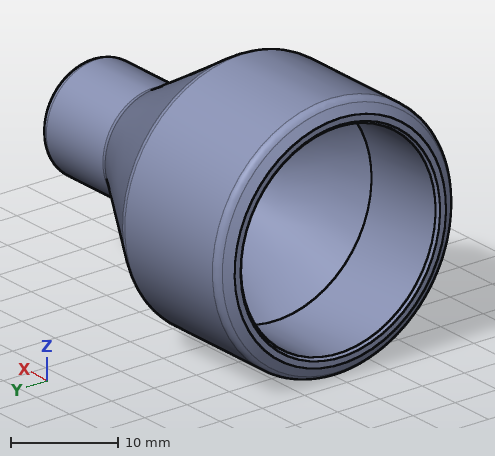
import cadquery as cq
import math

cup_length = 15.0
cone_length = 13.0
neck_length = 10.0
neck_start = cup_length + cone_length
total_length = neck_start + neck_length

cup_radius = 28.0 / 2
neck_radius = 12.0 / 2
cup_bevel_height = 1.5
neck_bevel_height = 1.0
bevel_angle = math.radians(60)
blend_radius = 1.0

bore_radius = 23.0 / 2
passage_radius = 8.0 / 2
bore_depth = 10.0
inner_cone_length = 10.0
mouth_chamfer = 0.3


def revolve_about_x(points):
    """Solid of revolution about X from closed (x, radius) points."""
    return cq.Workplane("XZ").polyline(points).close().revolve(360, (0, 0, 0), (1, 0, 0))


def outer_body():
    """Cup, cone and neck with beveled ends and rounded corners."""
    cup_bevel_length = cup_bevel_height / math.tan(bevel_angle)
    neck_bevel_length = neck_bevel_height / math.tan(bevel_angle)
    corners = [
        (cup_bevel_length, cup_radius),
        (cup_length, cup_radius),
        (neck_start, neck_radius),
        (total_length - neck_bevel_length, neck_radius),
    ]
    rim = (0, cup_radius - cup_bevel_height)
    tip = (total_length, neck_radius - neck_bevel_height)
    body = revolve_about_x([(0, 0), rim, *corners, tip, (total_length, 0)])
    corner_edges = body.edges("%CIRCLE and (not <X) and (not >X)")
    return corner_edges.fillet(blend_radius)


def inner_cavity():
    """Chamfered bore that narrows through a cone to the neck passage."""
    return revolve_about_x([
        (0, 0),
        (0, bore_radius + mouth_chamfer),
        (mouth_chamfer, bore_radius),
        (bore_depth, bore_radius),
        (bore_depth + inner_cone_length, passage_radius),
        (total_length, passage_radius),
        (total_length, 0),
    ])


result = outer_body().cut(inner_cavity())